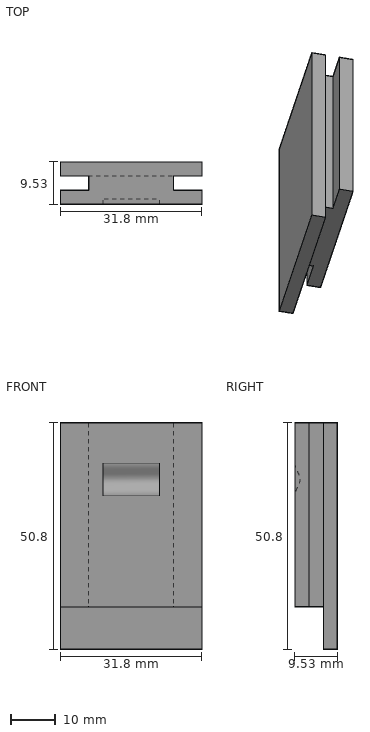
import cadquery as cq
import math

width = 31.75
height = 50.8
layer = 3.175
bottom_step = 3 * layer
slot_depth = 2 * layer
pocket_length = 4 * layer
pocket_depth = 1.15
pocket_height = 7.1
pocket_drop = 12.7
wave_steps = 6

thickness = 3 * layer
front_y = -thickness / 2
core_y = front_y + layer
back_y = core_y + layer
core_width = width - 2 * slot_depth
pocket_z = height - pocket_drop


def plate(plate_width, near_y, bottom_z):
    """One layer centred on X, from bottom_z up to the common top edge."""
    return cq.Workplane("XY").box(
        plate_width, layer, height - bottom_z, centered=(True, False, False)
    ).translate((0, near_y, bottom_z))


def pocket_profile(x):
    """Pocket outline at one X: a curve following one full cosine wave, closed along the front face."""

    def wave_point(step):
        turn = step / wave_steps
        depth = pocket_depth * (1 - math.cos(2 * math.pi * turn)) / 2
        return (front_y + depth, pocket_z + pocket_height * (turn - 0.5))

    wave_points = [wave_point(step) for step in range(wave_steps + 1)]
    return (
        cq.Workplane("YZ", origin=(x, 0, 0))
        .spline(wave_points)
        .close()
        .val()
    )


def pocket():
    """Shallow hollow of constant profile along X, centred on the part."""
    end_profiles = [pocket_profile(x) for x in (-pocket_length / 2, pocket_length / 2)]
    return cq.Workplane(obj=cq.Solid.makeLoft(end_profiles, ruled=True))


front_plate = plate(width, front_y, bottom_step)
core = plate(core_width, core_y, bottom_step)
back_plate = plate(width, back_y, 0)

result = back_plate.union(core).union(front_plate).cut(pocket())